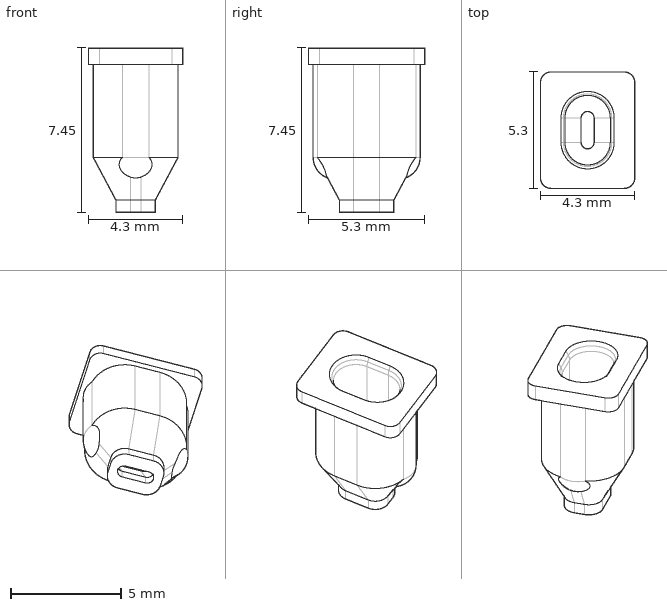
import cadquery as cq
import math

height = 7.45
flange_thickness = 0.745
neck_top = 0.55
taper_top = 2.495
flange_bottom = height - flange_thickness

flange_x = 4.3
flange_y = 5.3
flange_corner_radius = 0.5

flat_x = 0.485
flat_y = 1.17
body_corner_radius = 1.69
neck_corner_radius = 0.655

rib_radius = 1.0
rib_tip_y = 2.435
rib_center_y = rib_tip_y - rib_radius

slot_straight = 1.1
mouth_radius = 1.21
bore_radius = 1.03
outlet_radius = 0.29
blend_radius = 0.5
mouth_angle = math.radians(30)


def section(corner_radius):
    """Rounded rectangle around the fixed flats."""
    outline = cq.Sketch().rect(flat_x + 2 * corner_radius, flat_y + 2 * corner_radius)
    return outline.vertices().fillet(corner_radius)


def prism(bottom, top, corner_radius):
    """Straight length of the rounded section between two levels."""
    base = cq.Workplane("XY", origin=(0, 0, bottom))
    return base.placeSketch(section(corner_radius)).extrude(top - bottom)


def make_shell():
    """Neck, tapered shoulder, straight body and rectangular flange."""
    neck = prism(0, neck_top, neck_corner_radius)
    shoulder_height = taper_top - neck_top
    shoulder_ends = (
        section(neck_corner_radius),
        section(body_corner_radius).moved(cq.Location(cq.Vector(0, 0, shoulder_height))),
    )
    shoulder = cq.Workplane("XY", origin=(0, 0, neck_top)).placeSketch(*shoulder_ends).loft(ruled=True)
    body = prism(taper_top, flange_bottom, body_corner_radius)
    flange = (
        cq.Workplane("XY")
        .workplane(offset=flange_bottom)
        .rect(flange_x, flange_y)
        .extrude(flange_thickness)
        .edges("|Z")
        .fillet(flange_corner_radius)
    )
    return neck.union(shoulder).union(body).union(flange)


def make_rib(side):
    """Vertical cylinder ending in a ball at the level where the shoulder starts."""
    base = cq.Workplane("XY", origin=(0, side * rib_center_y, taper_top))
    return base.circle(rib_radius).extrude(flange_bottom - taper_top).union(base.sphere(rib_radius))


def make_passage():
    """Funnel profile swept around a slot: revolved at both ends, straight between."""
    blend_top_radius = bore_radius + blend_radius * (1 - math.cos(mouth_angle))
    blend_top = height - (mouth_radius - blend_top_radius) / math.tan(mouth_angle)
    blend_bottom = blend_top - blend_radius * math.sin(mouth_angle)
    blend_middle = (
        bore_radius + blend_radius * (1 - math.cos(mouth_angle / 2)),
        blend_bottom + blend_radius * math.sin(mouth_angle / 2),
    )

    def half_profile(y):
        return (
            cq.Workplane("XZ", origin=(0, y, 0))
            .lineTo(outlet_radius, 0)
            .lineTo(outlet_radius, neck_top)
            .lineTo(bore_radius, taper_top)
            .lineTo(bore_radius, blend_bottom)
            .threePointArc(blend_middle, (blend_top_radius, blend_top))
            .lineTo(mouth_radius, height)
            .lineTo(0, height)
            .close()
        )

    half_straight = slot_straight / 2
    right_half = half_profile(half_straight).extrude(slot_straight)
    passage = right_half.union(right_half.mirror("YZ"))
    for y in (-half_straight, half_straight):
        passage = passage.union(half_profile(y).revolve(360, (0, 0, 0), (0, 1, 0)))
    return passage


result = make_shell()
for side in (-1, 1):
    result = result.union(make_rib(side))
result = result.cut(make_passage())